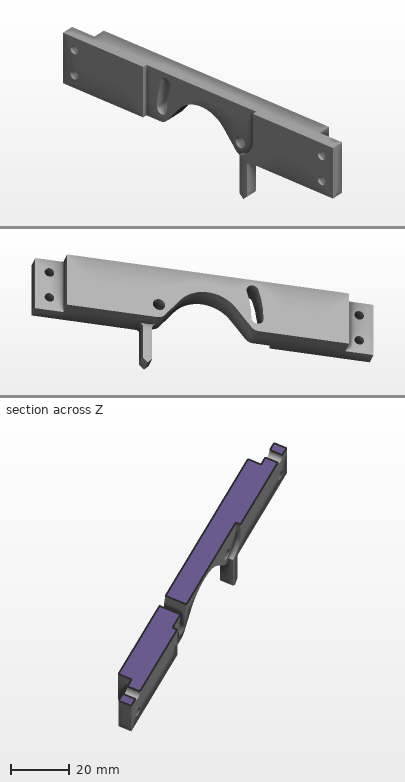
import cadquery as cq
import math

length = 120.0
block_length = 100.1
height = 20.3
depth = 10.0
plate_depth = 4.9

arch_radius = 12.7
arch_top = 12.8
corner_radius = 3.4
corner_x = 18.0

leg_left = 18.5
leg_width = 3.4
leg_length = 15.6
leg_right = leg_left + leg_width
leg_middle = leg_left + leg_width / 2
left_fillet = 1.5
right_fillet = 1.2

recess_depth = 1.8
recess_half_width = 24.4
recess_radius = 7.9
recess_arc_z = 9.2

pivot_x = 17.4
pivot_z = 5.2
pivot_diameter = 4.3
slot_radius = 34.9
slot_angle = 18.0
slot_width = 4.3

mount_x = 55.0
mount_rows = (pivot_z, 15.2)
mount_diameter = 3.4


def sketch(y=0.0):
    """XZ plane at depth y; extruding by a negative length goes toward +Y."""
    return cq.Workplane("XZ", origin=(0, y, 0))


def on_circle(center, radius, degrees):
    angle = math.radians(degrees)
    return (center[0] + radius * math.cos(angle), center[1] + radius * math.sin(angle))


def make_bar():
    plate = cq.Workplane("XY").box(length, plate_depth, height, centered=(True, False, False))
    block = cq.Workplane("XY").box(block_length, depth, height, centered=(True, False, False))
    return plate.union(block)


def make_arch():
    """Arc with straight flanks tangent to a rounded corner at each end."""
    arch_z = arch_top - arch_radius
    drop = corner_radius - arch_z
    spacing = math.hypot(corner_x, drop)
    flank = math.degrees(math.asin((arch_radius + corner_radius) / spacing) - math.atan2(drop, corner_x))
    left_corner = (-corner_x, corner_radius)
    right_corner = (corner_x, corner_radius)
    arch_center = (0, arch_z)
    return (
        sketch()
        .moveTo(-corner_x, 0)
        .threePointArc(
            on_circle(left_corner, corner_radius, -90 + flank / 2),
            on_circle(left_corner, corner_radius, -90 + flank),
        )
        .lineTo(*on_circle(arch_center, arch_radius, 90 + flank))
        .threePointArc((0, arch_top), on_circle(arch_center, arch_radius, 90 - flank))
        .lineTo(*on_circle(right_corner, corner_radius, -90 - flank))
        .threePointArc(on_circle(right_corner, corner_radius, -90 - flank / 2), (corner_x, 0))
        .close()
        .extrude(-depth)
    )


def make_leg():
    """Leg with a 90 degree point, filleted into the corner round and the bar's lower edge."""
    fillet_x = leg_left - left_fillet
    reach = corner_radius + left_fillet
    fillet_z = corner_radius - math.sqrt(reach**2 - (corner_x - fillet_x) ** 2)
    left_center = (fillet_x, fillet_z)
    touch_angle = math.degrees(math.atan2(corner_radius - fillet_z, corner_x - fillet_x))
    right_center = (leg_right + right_fillet, -right_fillet)
    shoulder_z = -leg_length + leg_width / 2
    return (
        sketch()
        .moveTo(*on_circle(left_center, left_fillet, touch_angle))
        .threePointArc(on_circle(left_center, left_fillet, touch_angle / 2), (leg_left, fillet_z))
        .lineTo(leg_left, shoulder_z)
        .lineTo(leg_middle, -leg_length)
        .lineTo(leg_right, shoulder_z)
        .lineTo(leg_right, -right_fillet)
        .threePointArc(on_circle(right_center, right_fillet, 135), (leg_right + right_fillet, 0))
        .lineTo(leg_right, corner_radius)
        .lineTo(corner_x, corner_radius)
        .close()
        .extrude(-plate_depth)
    )


def make_recess():
    arc_center = (recess_half_width - recess_radius, recess_arc_z)
    end_angle = -math.degrees(math.acos((leg_left - arc_center[0]) / recess_radius))
    return (
        sketch()
        .moveTo(-recess_half_width, height)
        .lineTo(recess_half_width, height)
        .lineTo(recess_half_width, recess_arc_z)
        .threePointArc(
            on_circle(arc_center, recess_radius, end_angle / 2),
            on_circle(arc_center, recess_radius, end_angle),
        )
        .lineTo(leg_left, -leg_length)
        .lineTo(-recess_half_width, -leg_length)
        .close()
        .extrude(-recess_depth)
    )


def make_slot():
    pivot = (pivot_x, pivot_z)
    inner = slot_radius - slot_width / 2
    outer = slot_radius + slot_width / 2
    low = 180
    high = low - slot_angle
    middle = low - slot_angle / 2
    band = (
        sketch()
        .moveTo(*on_circle(pivot, inner, low))
        .threePointArc(on_circle(pivot, inner, middle), on_circle(pivot, inner, high))
        .lineTo(*on_circle(pivot, outer, high))
        .threePointArc(on_circle(pivot, outer, middle), on_circle(pivot, outer, low))
        .close()
        .extrude(-depth)
    )
    ends = [on_circle(pivot, slot_radius, angle) for angle in (low, high)]
    return band.union(make_holes(ends, slot_width))


def make_holes(centers, diameter):
    return sketch().pushPoints(centers).circle(diameter / 2).extrude(-depth)


mount_centers = [(x, z) for x in (-mount_x, mount_x) for z in mount_rows]

result = make_bar().cut(make_arch()).union(make_leg()).cut(make_recess())
result = result.cut(make_slot())
result = result.cut(make_holes([(pivot_x, pivot_z)], pivot_diameter))
result = result.cut(make_holes(mount_centers, mount_diameter))